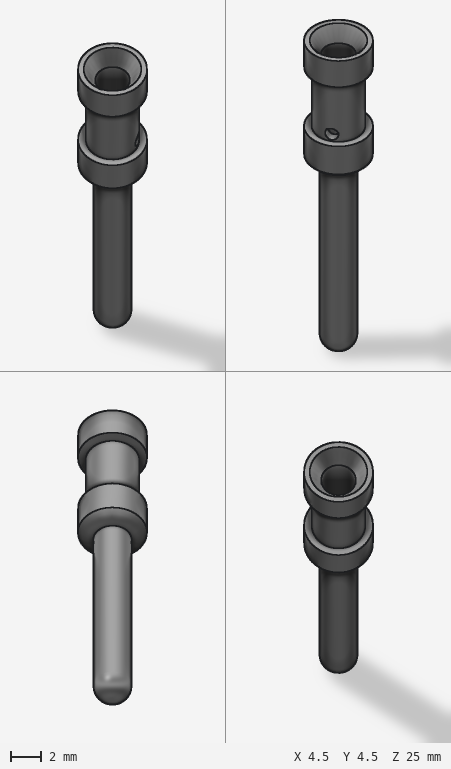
import cadquery as cq
import math

length = 25.0

pin_diameter = 2.5
barrel_diameter = 3.5
collar_diameter = 4.5

shoulder_bottom = 15.1
collar_bottom = 15.78
collar_top = 18.05
neck_top = 22.62
head_bottom = 22.88
shoulder_bulge = 0.1

bore_diameter = 2.25
bore_bottom = 18.0
mouth_diameter = 3.75
mouth_depth = 1.08
drill_point_angle = 118.0

inspection_diameter = 0.9
inspection_clearance = 0.12
inspection_height = collar_top + inspection_clearance + inspection_diameter / 2

pin_radius = pin_diameter / 2
barrel_radius = barrel_diameter / 2
collar_radius = collar_diameter / 2
bore_radius = bore_diameter / 2
mouth_radius = mouth_diameter / 2


def make_body():
    """Revolve the outer profile: round-tipped pin, collar, barrel and head."""
    diagonal = pin_radius * math.sqrt(0.5)
    tip_middle = (diagonal, pin_radius - diagonal)
    run = collar_radius - pin_radius
    rise = collar_bottom - shoulder_bottom
    chord = math.hypot(run, rise)
    shoulder_middle = (
        (pin_radius + collar_radius) / 2 + shoulder_bulge * rise / chord,
        (shoulder_bottom + collar_bottom) / 2 - shoulder_bulge * run / chord,
    )
    profile = (
        cq.Workplane("XZ")
        .moveTo(0, 0)
        .threePointArc(tip_middle, (pin_radius, pin_radius))
        .lineTo(pin_radius, shoulder_bottom)
        .threePointArc(shoulder_middle, (collar_radius, collar_bottom))
        .lineTo(collar_radius, collar_top)
        .lineTo(barrel_radius, collar_top)
        .lineTo(barrel_radius, neck_top)
        .lineTo(collar_radius, head_bottom)
        .lineTo(collar_radius, length)
        .lineTo(0, length)
        .close()
    )
    return profile.revolve(360, (0, 0, 0), (0, 1, 0))


def make_socket():
    """Revolve the socket: flared mouth, straight bore and drill point."""
    point_depth = bore_radius / math.tan(math.radians(drill_point_angle / 2))
    profile = cq.Workplane("XZ").polyline([
        (0, bore_bottom - point_depth),
        (bore_radius, bore_bottom),
        (bore_radius, length - mouth_depth),
        (mouth_radius, length),
        (0, length),
    ]).close()
    return profile.revolve(360, (0, 0, 0), (0, 1, 0))


def make_inspection_hole():
    """Drill from the socket axis out through the +X wall only."""
    return (
        cq.Workplane("YZ")
        .center(0, inspection_height)
        .circle(inspection_diameter / 2)
        .extrude(collar_radius)
    )


result = make_body().cut(make_socket()).cut(make_inspection_hole())